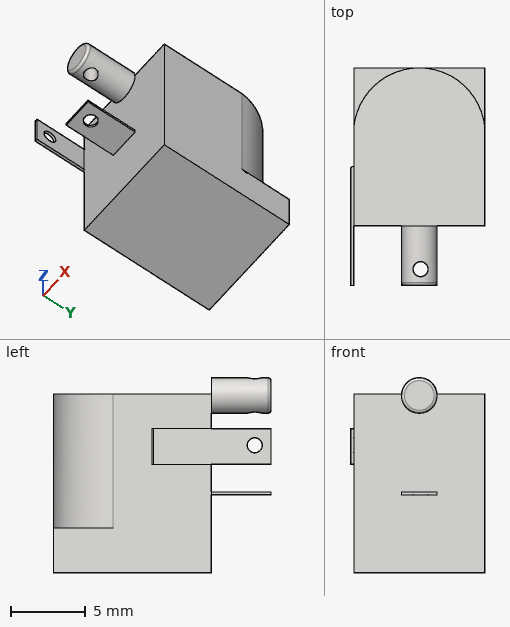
import cadquery as cq

body_width = 8.79
body_depth = 10.6
body_height = 12.0
base_height = 3.0
crown_rise = 4.0

terminal_reach = 4.0
terminal_width = 2.4
strip_thickness = 0.2
hole_diameter = 1.0
hole_end_distance = 1.1
hole_offset = 0.09
hole_y = hole_end_distance - terminal_reach

pin_axis_z = 11.9
pin_tip_radius = 0.2
flat_terminal_z = 5.23
side_terminal_length = 8.0
side_terminal_center_z = 8.47
side_terminal_end_bevel = 0.1


def make_housing():
    """Rectangular base carrying an upright block with a rounded back."""
    half_width = body_width / 2
    shoulder_y = body_depth - crown_rise
    base = cq.Workplane("XY").box(body_width, body_depth, base_height, centered=(True, False, False))
    upper = (
        cq.Workplane("XY")
        .moveTo(-half_width, 0)
        .lineTo(half_width, 0)
        .lineTo(half_width, shoulder_y)
        .threePointArc((0, body_depth), (-half_width, shoulder_y))
        .close()
        .extrude(body_height)
    )
    return base.union(upper)


def make_vertical_hole(bottom_z, top_z):
    """Cutter for a vertical hole near the terminal ends."""
    return (
        cq.Workplane("XY", origin=(hole_offset, hole_y, bottom_z))
        .circle(hole_diameter / 2)
        .extrude(top_z - bottom_z)
    )


def make_pin():
    """Round terminal with a rounded tip and a vertical cross hole."""
    pin_radius = terminal_width / 2
    pin = (
        cq.Workplane("XZ", origin=(0, 0, pin_axis_z))
        .circle(pin_radius)
        .extrude(terminal_reach)
        .faces("<Y")
        .edges()
        .fillet(pin_tip_radius)
    )
    return pin.cut(make_vertical_hole(pin_axis_z - pin_radius, pin_axis_z + pin_radius))


def make_flat_terminal():
    """Horizontal strip projecting from the terminal face."""
    strip = cq.Workplane("XY", origin=(0, -terminal_reach / 2, flat_terminal_z)).box(
        terminal_width, terminal_reach, strip_thickness, centered=(True, True, False)
    )
    return strip.cut(make_vertical_hole(flat_terminal_z, flat_terminal_z + strip_thickness))


def make_side_terminal():
    """Upright strip lying against the -X wall, bevelled at its back end."""
    outer_x = -body_width / 2 - strip_thickness
    strip = (
        cq.Workplane("XY", origin=(outer_x, -terminal_reach, side_terminal_center_z))
        .box(strip_thickness, side_terminal_length, terminal_width, centered=(False, False, True))
        .edges("|Z and <X and >Y")
        .chamfer(side_terminal_end_bevel)
    )
    hole = (
        cq.Workplane("YZ", origin=(outer_x, hole_y, side_terminal_center_z + hole_offset))
        .circle(hole_diameter / 2)
        .extrude(strip_thickness)
    )
    return strip.cut(hole)


result = make_housing().union(make_pin()).union(make_flat_terminal()).union(make_side_terminal())